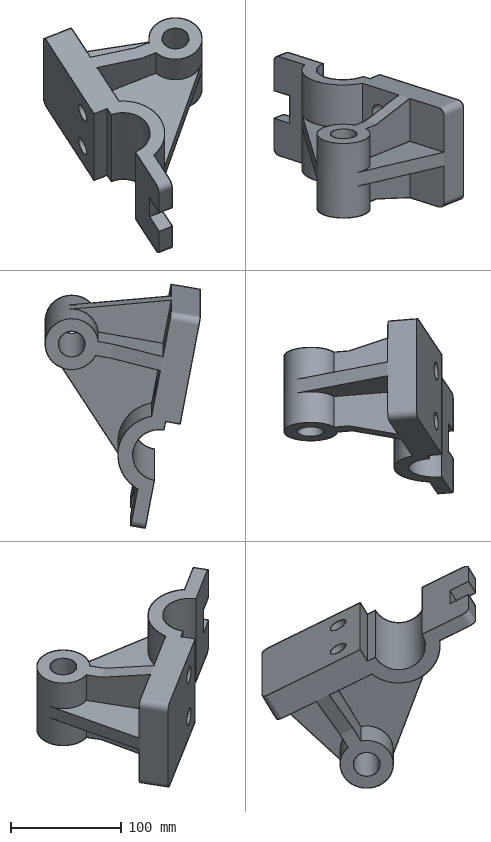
import cadquery as cq
import math

length = 206.0
height = 96.5
pad_length = 101.5
pad_thickness = 26.8
parting_y = pad_thickness / 2
corner_radius = 6.5

saddle_x = 134.0
bore_radius = 24.1
saddle_radius = 37.5

hub_x = 48.2
hub_y = 109.6
hub_radius = 24.1
hub_hole_radius = hub_radius / 2
hub_height = 72.5

rib_thickness = 13.4
rib_taper_end_y = 72.3

bolt_x = 78.7
bolt_spacing = 48.5
bolt_radius = 8.0
slot_depth = 19.2
slot_width = 26.8


def upright(sketch_height):
    """Workplane in XY at the bottom of a body centred on Z = 0."""
    return cq.Workplane("XY").workplane(offset=-sketch_height / 2)


def point_on_circle(x, y, radius, angle):
    return (x + radius * math.cos(angle), y + radius * math.sin(angle))


def make_base():
    pad = upright(height).rect(pad_length, pad_thickness, centered=False).extrude(height)
    pad = pad.edges("|Y and <X").fillet(corner_radius)
    flange = (
        upright(height)
        .center(pad_length, parting_y)
        .rect(length - pad_length, pad_thickness - parting_y, centered=False)
        .extrude(height)
        .edges("|Y and >X")
        .fillet(corner_radius)
    )
    saddle = (
        upright(height)
        .moveTo(saddle_x - saddle_radius, parting_y)
        .threePointArc((saddle_x, parting_y + saddle_radius), (saddle_x + saddle_radius, parting_y))
        .close()
        .extrude(height)
    )
    return pad.union(flange).union(saddle)


def make_hub():
    return upright(hub_height).center(hub_x, hub_y).circle(hub_radius).extrude(hub_height)


def make_web():
    """Mid-height web whose sides are tangent to the hub and the saddle."""
    dx = hub_x
    dy = hub_y - pad_thickness
    left_angle = math.atan2(-dy, -dx) - math.acos(hub_radius / math.hypot(dx, dy))
    left_tangent = point_on_circle(hub_x, hub_y, hub_radius, left_angle)

    dx = saddle_x - hub_x
    dy = parting_y - hub_y
    right_angle = math.atan2(dy, dx) + math.acos((hub_radius - saddle_radius) / math.hypot(dx, dy))
    hub_tangent = point_on_circle(hub_x, hub_y, hub_radius, right_angle)
    saddle_tangent = point_on_circle(saddle_x, parting_y, saddle_radius, right_angle)

    outline = [
        (0, pad_thickness),
        left_tangent,
        (hub_x, hub_y),
        hub_tangent,
        saddle_tangent,
        (saddle_x, pad_thickness),
    ]
    return upright(rib_thickness).polyline(outline).close().extrude(rib_thickness)


def make_upright_rib():
    """Rib from pad to hub, tapering from pad height to hub height."""
    outline = [
        (pad_thickness, -height / 2),
        (rib_taper_end_y, -hub_height / 2),
        (hub_y, -hub_height / 2),
        (hub_y, hub_height / 2),
        (rib_taper_end_y, hub_height / 2),
        (pad_thickness, height / 2),
    ]
    return (
        cq.Workplane("YZ")
        .workplane(offset=hub_x - rib_thickness / 2)
        .polyline(outline)
        .close()
        .extrude(rib_thickness)
    )


def make_cuts():
    bore = upright(height).center(saddle_x, parting_y).circle(bore_radius).extrude(height)
    hub_hole = upright(height).center(hub_x, hub_y).circle(hub_hole_radius).extrude(height)
    bolt_holes = (
        cq.Workplane("XZ")
        .pushPoints([(bolt_x, -bolt_spacing / 2), (bolt_x, bolt_spacing / 2)])
        .circle(bolt_radius)
        .extrude(-pad_thickness)
    )
    slot = (
        upright(slot_width)
        .center(length - slot_depth, parting_y)
        .rect(slot_depth, pad_thickness - parting_y, centered=False)
        .extrude(slot_width)
    )
    return [bore, hub_hole, bolt_holes, slot]


result = make_base().union(make_web()).union(make_upright_rib()).union(make_hub())
for cut in make_cuts():
    result = result.cut(cut)